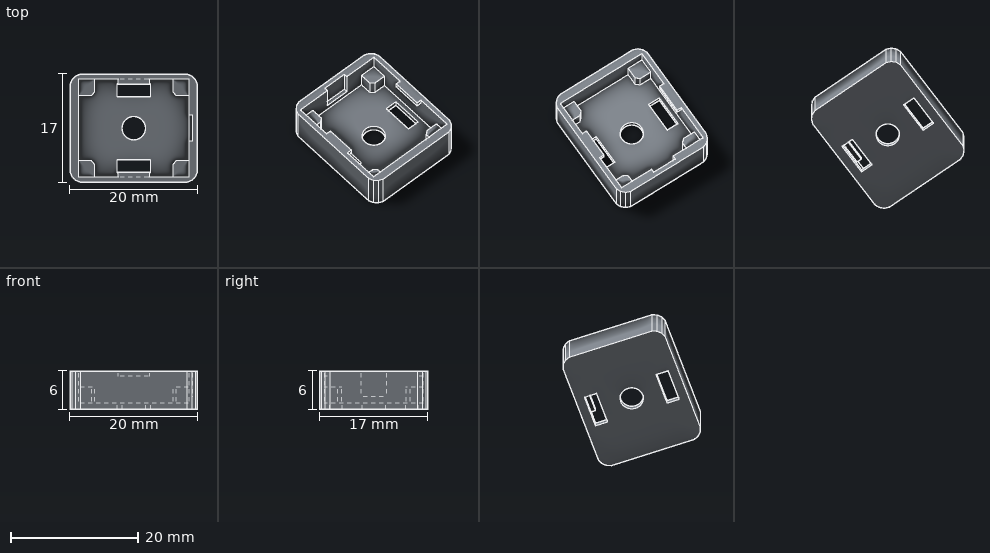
import cadquery as cq
import math

length = 20.0
width = 17.0
height = 6.0
corner_size = 2.0
facets_per_corner = 3

end_wall = 1.35
side_wall = 0.8
floor_thickness = 1.0
cavity_length = length - 2 * end_wall
cavity_width = width - 2 * side_wall

support_length = 2.5
support_width = 2.6
support_height = 2.5
support_cut_x = 0.5
support_cut_y = 0.6

tab_length = 4.95
tab_reach = 0.8
tab_thickness = 0.8
slot_length = 5.25
slot_width = 2.0
slot_edge_distance = 1.55

hole_diameter = 3.65
recess_width = 4.08
recess_depth = 0.6
recess_height = 4.0

SIDES = (-1, 1)


def centered_block(x_size, y_size, z_size):
    """Box rising from the XY plane, centred in X and Y."""
    return cq.Workplane("XY").box(x_size, y_size, z_size, centered=(True, True, False))


def faceted_outline():
    """Corner points of the rectangle whose corners are arcs of a regular polygon."""
    step = math.pi / 2 / (facets_per_corner + 1)
    vertex_radius = corner_size / math.cos(step / 2)
    points = []
    for quadrant, (x_side, y_side) in enumerate(((1, 1), (-1, 1), (-1, -1), (1, -1))):
        center_x = x_side * (length / 2 - corner_size)
        center_y = y_side * (width / 2 - corner_size)
        for vertex in range(facets_per_corner + 1):
            angle = quadrant * math.pi / 2 + (vertex + 0.5) * step
            x = center_x + vertex_radius * math.cos(angle)
            y = center_y + vertex_radius * math.sin(angle)
            points.append((x, y))
    return points


def make_shell():
    """Open-topped case with a rectangular cavity."""
    body = cq.Workplane("XY").polyline(faceted_outline()).close().extrude(height)
    cavity = centered_block(cavity_length, cavity_width, height)
    return body.cut(cavity.translate((0, 0, floor_thickness)))


def make_support(x_side, y_side):
    """Corner support with its inward edge cut off at an angle."""
    outer_x = x_side * cavity_length / 2
    outer_y = y_side * cavity_width / 2
    inner_x = outer_x - x_side * support_length
    inner_y = outer_y - y_side * support_width
    points = [
        (outer_x, outer_y),
        (inner_x, outer_y),
        (inner_x, inner_y + y_side * support_cut_y),
        (inner_x + x_side * support_cut_x, inner_y),
        (outer_x, inner_y),
    ]
    base = cq.Workplane("XY").workplane(offset=floor_thickness)
    return base.polyline(points).close().extrude(support_height)


def make_tab(y_side):
    """Snap tab reaching inward from a long wall, flush with the rim."""
    tab = centered_block(tab_length, tab_reach, tab_thickness)
    tab_y = y_side * (cavity_width - tab_reach) / 2
    return tab.translate((0, tab_y, height - tab_thickness))


def make_slot(y_side):
    """Cutter for the floor slot below a snap tab."""
    slot = centered_block(slot_length, slot_width, floor_thickness)
    slot_y = y_side * (width / 2 - slot_edge_distance - slot_width / 2)
    return slot.translate((0, slot_y, 0))


def make_recess():
    """Cutter for the recess in the inner face of the +X wall, open at the rim."""
    recess = centered_block(recess_depth, recess_width, recess_height)
    recess_x = (cavity_length + recess_depth) / 2
    return recess.translate((recess_x, 0, height - recess_height))


result = make_shell()
for y_side in SIDES:
    result = result.union(make_tab(y_side)).cut(make_slot(y_side))
    for x_side in SIDES:
        result = result.union(make_support(x_side, y_side))

floor_hole = cq.Workplane("XY").circle(hole_diameter / 2).extrude(floor_thickness)
result = result.cut(floor_hole).cut(make_recess())